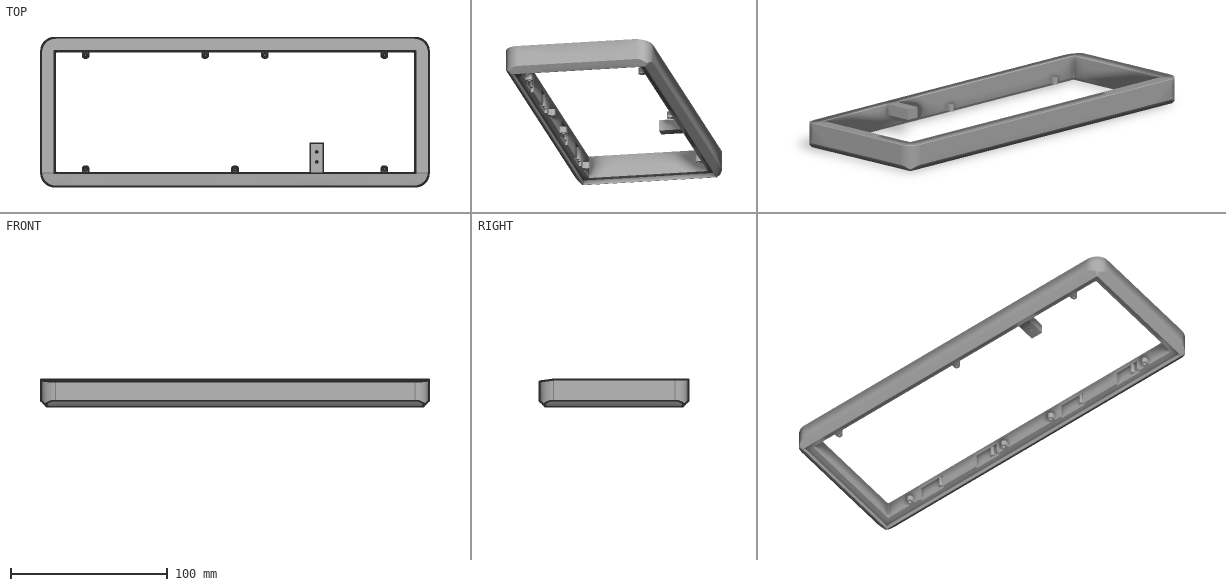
import cadquery as cq

LENGTH = 247.6
DEPTH = 95.2
HEIGHT = 17.5
BORDER = 9.0
KEY_PITCH = 19.05

OPENING_LENGTH = LENGTH - 2 * BORDER
OPENING_DEPTH = DEPTH - 2 * BORDER
INNER_WALL_Y = OPENING_DEPTH / 2
INNER_CORNER_RADIUS = 1.0

BOTTOM_CHAMFER = 4.0
CHAMFER_ANGLE = 45
MITRE_RADIUS = 5.0
RIM_CHAMFER = 0.5
OUTER_EDGE_CHAMFER = 0.3
FRONT_DROP = 1.2

SEAT_DEPTH = 3.0
SEAT_MARGIN = 4.5

BOSS_DIAMETER = 4.0
BOSS_HOLE_DIAMETER = 1.8
BOSS_HEIGHT = 4.0
BOSS_CENTRE_Y = 36.4
WALL_OVERLAP = 0.5
REAR_BOSSES_X = [-5 * KEY_PITCH, -KEY_PITCH, KEY_PITCH, 5 * KEY_PITCH]
FRONT_BOSSES_X = [-5 * KEY_PITCH, 0, 5 * KEY_PITCH]

POCKET_WIDTH = 18.0
POCKET_DEPTH = 1.5
POCKET_TOP_Z = 13.3
RIB_DIAMETER = 3.0
RIB_BOTTOM_Z = 5.5
SINGLE_RIB_OFFSETS = [6.5]
DOUBLE_RIB_OFFSETS = [3.3, 8.2]
POCKETS = [
    (-79.5, SINGLE_RIB_OFFSETS),
    (-34.5, DOUBLE_RIB_OFFSETS),
    (34.5, SINGLE_RIB_OFFSETS),
    (79.5, DOUBLE_RIB_OFFSETS),
]

ARM_CENTRE_X = 52.2
ARM_WIDTH = 8.4
ARM_END_Y = -19.8
ARM_BOTTOM_Z = 10.5
ARM_TOP_Z = HEIGHT
ARM_HOLE_DIAMETER = 1.0
ARM_HOLES_Y = [-25.4, -31.8]


def box_between(x_min, x_max, y_min, y_max, z_min, z_max):
    """Axis-aligned box from its limits."""
    size = (x_max - x_min, y_max - y_min, z_max - z_min)
    return cq.Workplane("XY").box(*size, centered=False).translate((x_min, y_min, z_min))


def outer_block():
    """Rounded block whose straight foot chamfers meet at softened mitres, with a sloping front top."""
    block = cq.Workplane("XY").box(LENGTH, DEPTH, HEIGHT, centered=(True, True, False))
    block = block.edges("|Z").fillet(BORDER)
    foot = (
        cq.Workplane("XY")
        .rect(LENGTH - 2 * BOTTOM_CHAMFER, DEPTH - 2 * BOTTOM_CHAMFER)
        .extrude(HEIGHT, taper=-CHAMFER_ANGLE)
        .edges("not (|X or |Y)")
        .fillet(MITRE_RADIUS)
    )
    slope = (
        cq.Workplane("YZ")
        .moveTo(-INNER_WALL_Y, HEIGHT)
        .lineTo(-DEPTH / 2, HEIGHT - FRONT_DROP)
        .lineTo(-DEPTH / 2, HEIGHT)
        .close()
        .extrude(LENGTH / 2, both=True)
    )
    return block.intersect(foot).cut(slope)


def bevel_outer_edge(block):
    """Bevel the upper outer edge; the front bar and the rest are bevelled apart, then joined."""
    front_region = box_between(-LENGTH / 2, LENGTH / 2, -DEPTH / 2, -INNER_WALL_Y, 0, HEIGHT)
    slope_middle = (0, -INNER_WALL_Y - BORDER / 2, HEIGHT - FRONT_DROP / 2)
    front_bar = block.intersect(front_region)
    slope_edges = front_bar.faces(cq.NearestToPointSelector(slope_middle)).edges("not >Y")
    rest = block.cut(front_region)
    flat_edges = rest.faces(">Z").edges("not <Y")
    return slope_edges.chamfer(OUTER_EDGE_CHAMFER).union(flat_edges.chamfer(OUTER_EDGE_CHAMFER))


def opening():
    """Cutter for the window, its bevelled upper rim and the plate seat below."""
    window = cq.Workplane("XY").rect(OPENING_LENGTH, OPENING_DEPTH).extrude(HEIGHT)
    window = window.edges("|Z").fillet(INNER_CORNER_RADIUS)
    rim = (
        cq.Workplane("XY", origin=(0, 0, HEIGHT - RIM_CHAMFER))
        .rect(OPENING_LENGTH, OPENING_DEPTH)
        .extrude(RIM_CHAMFER, taper=-CHAMFER_ANGLE)
    )
    seat = (
        cq.Workplane("XY")
        .rect(OPENING_LENGTH + 2 * SEAT_MARGIN, OPENING_DEPTH + 2 * SEAT_MARGIN)
        .extrude(SEAT_DEPTH)
    )
    return window.union(rim).union(seat)


def pocket(centre_x, rib_offsets):
    """Cutter for one rear pocket, leaving its half-round ribs standing."""
    back_y = INNER_WALL_Y + POCKET_DEPTH
    left_x = centre_x - POCKET_WIDTH / 2
    cutter = box_between(
        left_x, left_x + POCKET_WIDTH, INNER_WALL_Y, back_y, SEAT_DEPTH, POCKET_TOP_Z
    )
    for offset in rib_offsets:
        rib = (
            cq.Workplane("XY", origin=(centre_x + offset, back_y, RIB_BOTTOM_Z))
            .circle(RIB_DIAMETER / 2)
            .extrude(POCKET_TOP_Z - RIB_BOTTOM_Z)
        )
        cutter = cutter.cut(rib)
    return cutter


def boss(centre_x, side):
    """U-shaped screw boss on the rear (side = 1) or front (side = -1) inner wall."""
    radius = BOSS_DIAMETER / 2
    centre_y = side * BOSS_CENTRE_Y
    y_limits = sorted([centre_y, side * (INNER_WALL_Y + WALL_OVERLAP)])
    plane = cq.Workplane("XY", origin=(centre_x, centre_y, SEAT_DEPTH))
    web = box_between(
        centre_x - radius, centre_x + radius, *y_limits, SEAT_DEPTH, SEAT_DEPTH + BOSS_HEIGHT
    )
    hole = plane.circle(BOSS_HOLE_DIAMETER / 2).extrude(BOSS_HEIGHT)
    return plane.circle(radius).extrude(BOSS_HEIGHT).union(web).cut(hole)


def arm():
    """Bar standing out from the front wall with two small through holes."""
    bar = box_between(
        ARM_CENTRE_X - ARM_WIDTH / 2,
        ARM_CENTRE_X + ARM_WIDTH / 2,
        -INNER_WALL_Y - WALL_OVERLAP,
        ARM_END_Y,
        ARM_BOTTOM_Z,
        ARM_TOP_Z,
    )
    for hole_y in ARM_HOLES_Y:
        hole = (
            cq.Workplane("XY", origin=(ARM_CENTRE_X, hole_y, ARM_BOTTOM_Z))
            .circle(ARM_HOLE_DIAMETER / 2)
            .extrude(ARM_TOP_Z - ARM_BOTTOM_Z)
        )
        bar = bar.cut(hole)
    return bar


result = bevel_outer_edge(outer_block()).cut(opening())
for pocket_x, offsets in POCKETS:
    result = result.cut(pocket(pocket_x, offsets))
for boss_x in REAR_BOSSES_X:
    result = result.union(boss(boss_x, 1))
for boss_x in FRONT_BOSSES_X:
    result = result.union(boss(boss_x, -1))
result = result.union(arm())